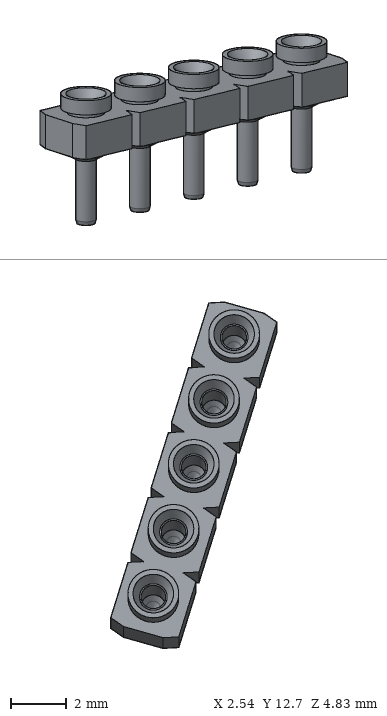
import cadquery as cq

pin_count = 5
pitch = 2.54
carrier_length = pin_count * pitch
carrier_width = 2.54
carrier_height = 1.27
notch_depth = 0.53
notch_half_width = 0.19
pin_centres = [(0, (index - (pin_count - 1) / 2) * pitch) for index in range(pin_count)]

collar_bottom_z = -0.27
cone_bottom_z = -0.45
tip_z = -2.85
tip_chamfer_height = 0.15
head_bottom_z = 1.45
head_top_z = 1.98

head_diameter = 1.82
collar_diameter = 1.33
tail_diameter = 0.75
tip_diameter = 0.66

funnel_mouth_diameter = 1.45
funnel_floor_diameter = 0.99
funnel_depth = 0.4
bore_diameter = 0.88
bore_depth = 1.52
point_mouth_diameter = 0.52
taper_depth = 0.19
point_depth = 0.25


def make_carrier():
    """Bar with pointed snap notches between cells, half notches at its ends and a hole per pin."""
    half_width = carrier_width / 2
    waist_half_width = half_width - notch_depth
    bar = cq.Workplane("XY").box(carrier_width, carrier_length, carrier_height, centered=(True, True, False))
    for boundary in range(pin_count + 1):
        notch_y = boundary * pitch - carrier_length / 2
        for side in (-1, 1):
            notch = (
                cq.Workplane("XY")
                .moveTo(side * waist_half_width, notch_y)
                .lineTo(side * half_width, notch_y + notch_half_width)
                .lineTo(side * half_width, notch_y - notch_half_width)
                .close()
                .extrude(carrier_height)
            )
            bar = bar.cut(notch)
    holes = cq.Workplane("XY").pushPoints(pin_centres).circle(collar_diameter / 2).extrude(carrier_height)
    return bar.cut(holes)


def make_pin(x, y):
    """Turned pin with a stepped socket, as one profile revolved about Z."""
    funnel_floor_z = head_top_z - funnel_depth
    bore_bottom_z = head_top_z - bore_depth
    taper_bottom_z = bore_bottom_z - taper_depth
    point_z = taper_bottom_z - point_depth
    profile = [
        (0, tip_z),
        (tip_diameter / 2, tip_z),
        (tail_diameter / 2, tip_z + tip_chamfer_height),
        (tail_diameter / 2, cone_bottom_z),
        (collar_diameter / 2, collar_bottom_z),
        (collar_diameter / 2, head_bottom_z),
        (head_diameter / 2, head_bottom_z),
        (head_diameter / 2, head_top_z),
        (funnel_mouth_diameter / 2, head_top_z),
        (funnel_floor_diameter / 2, funnel_floor_z),
        (bore_diameter / 2, funnel_floor_z),
        (bore_diameter / 2, bore_bottom_z),
        (point_mouth_diameter / 2, taper_bottom_z),
        (0, point_z),
    ]
    pin = cq.Workplane("XZ").polyline(profile).close().revolve(360, (0, 0, 0), (0, 1, 0))
    return pin.translate((x, y, 0))


carrier = make_carrier()
pins = [make_pin(x, y) for x, y in pin_centres]

result = cq.Compound.makeCompound([carrier.val(), *[pin.val() for pin in pins]])